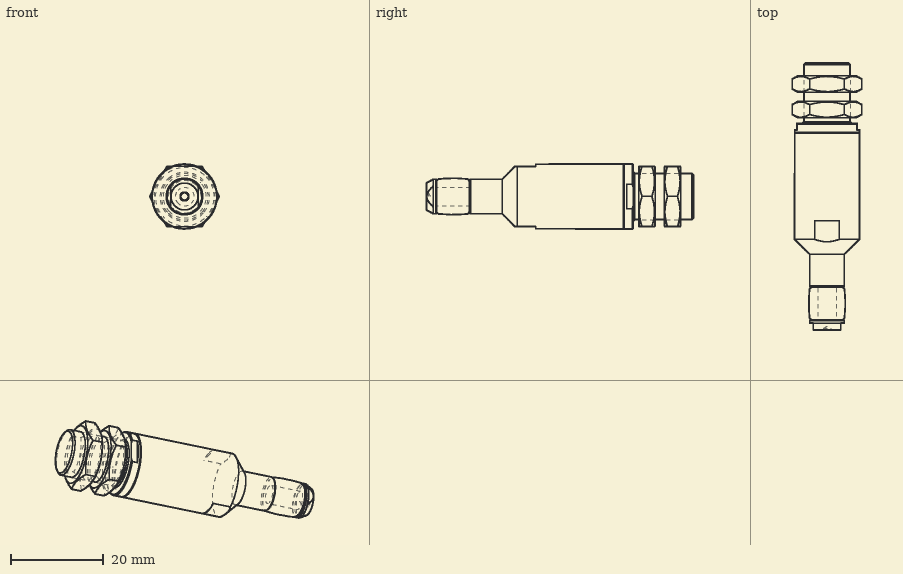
import cadquery as cq
import math

overall_length = 57.5

neck_diameter = 7.5
wrench_width = 13.0
joint_chamfer = 0.25

tip_end_diameter = 6.0
tip_end_chamfer = 0.1
tip_flat_width = 6.0
tip_taper_length = 1.5
tip_length = 2.25
rod_diameter = 4.0
hole_diameter = 1.57
hole_mouth_diameter = 1.9
hole_depth = 0.4
drill_point_angle = 118.0

sleeve_length = 7.0
sleeve_shoulder_diameter = 7.6
sleeve_diameter = 7.9
sleeve_rounding = 0.6

housing_front = tip_length + sleeve_length
cone_front = 16.35
cone_rear = 19.5
body_diameter = 14.0
front_flat_rear = 23.5
groove_center = 42.5
groove_depth = 0.1
flange_rear = 44.5
flange_chamfer = 0.2
flange_flat_length = 1.4
stud_diameter = 10.0
stud_root_flare = 0.3
stud_end_chamfer = 0.4

nut_thickness = 3.5
nut_face_diameter = 12.6
nut_chamfer_angle = 30.0
first_nut_front = 45.7
nut_pitch = 5.5
nut_count = 2


def turned(outline):
    """Revolve an outline drawn as (radius, Y) about the Y axis."""
    return outline.close().revolve(360, (0, 0, 0), (0, 1, 0))


def cylinder(diameter, start, end):
    """Solid cylinder on the Y axis between two Y stations."""
    return cq.Workplane("XZ", origin=(0, start, 0)).circle(diameter / 2).extrude(start - end)


def slab(width_x, width_z, start, end):
    """Block centred on the Y axis between two Y stations."""
    return cq.Workplane("XZ", origin=(0, start, 0)).rect(width_x, width_z).extrude(start - end)


def flat_cutter(width_x, width_z, start, end):
    """Material outside a centred block, for cutting pairs of flats between two Y stations."""
    stock_width = 2 * body_diameter
    return slab(stock_width, stock_width, start, end).cut(slab(width_x, width_z, start, end))


def make_tip():
    end_radius = tip_end_diameter / 2
    collar_radius = neck_diameter / 2
    outline = (
        cq.Workplane("XY")
        .moveTo(0, 0)
        .lineTo(end_radius - tip_end_chamfer, 0)
        .lineTo(end_radius, tip_end_chamfer)
        .lineTo(collar_radius, tip_taper_length)
        .lineTo(collar_radius, tip_length - joint_chamfer)
        .lineTo(collar_radius - joint_chamfer, tip_length)
        .lineTo(rod_diameter / 2, tip_length)
        .lineTo(rod_diameter / 2, housing_front)
        .lineTo(0, housing_front)
    )
    tip = turned(outline).cut(flat_cutter(tip_flat_width, body_diameter, 0, tip_taper_length))

    hole_radius = hole_diameter / 2
    mouth_radius = hole_mouth_diameter / 2
    point_length = hole_radius / math.tan(math.radians(drill_point_angle / 2))
    hole = turned(
        cq.Workplane("XY")
        .moveTo(0, 0)
        .lineTo(mouth_radius, 0)
        .lineTo(hole_radius, mouth_radius - hole_radius)
        .lineTo(hole_radius, hole_depth)
        .lineTo(0, hole_depth + point_length)
    )
    return tip.cut(hole)


def make_sleeve():
    front = tip_length
    rear = housing_front
    shoulder_radius = sleeve_shoulder_diameter / 2
    end_radius = shoulder_radius - sleeve_rounding
    round_middle = sleeve_rounding * (1 - math.cos(math.radians(45)))
    middle_radius = shoulder_radius - round_middle
    outline = (
        cq.Workplane("XY")
        .moveTo(rod_diameter / 2, front)
        .lineTo(end_radius, front)
        .threePointArc((middle_radius, front + round_middle), (shoulder_radius, front + sleeve_rounding))
        .threePointArc((sleeve_diameter / 2, (front + rear) / 2), (shoulder_radius, rear - sleeve_rounding))
        .threePointArc((middle_radius, rear - round_middle), (end_radius, rear))
        .lineTo(rod_diameter / 2, rear)
    )
    return turned(outline)


def make_housing():
    neck_radius = neck_diameter / 2
    body_radius = body_diameter / 2
    stud_radius = stud_diameter / 2
    outline = (
        cq.Workplane("XY")
        .moveTo(0, housing_front)
        .lineTo(neck_radius - joint_chamfer, housing_front)
        .lineTo(neck_radius, housing_front + joint_chamfer)
        .lineTo(neck_radius, cone_front)
        .lineTo(body_radius, cone_rear)
        .lineTo(body_radius, groove_center - groove_depth)
        .lineTo(body_radius - groove_depth, groove_center)
        .lineTo(body_radius, groove_center + groove_depth)
        .lineTo(body_radius, flange_rear - flange_chamfer)
        .lineTo(body_radius - flange_chamfer, flange_rear)
        .lineTo(stud_radius + stud_root_flare, flange_rear)
        .lineTo(stud_radius, flange_rear + stud_root_flare)
        .lineTo(stud_radius, overall_length - stud_end_chamfer)
        .lineTo(stud_radius - stud_end_chamfer, overall_length)
        .lineTo(0, overall_length)
    )
    front_flats = flat_cutter(body_diameter, wrench_width, cone_front, front_flat_rear)
    flange_flats = flat_cutter(wrench_width, body_diameter, flange_rear - flange_flat_length, flange_rear)
    return turned(outline).cut(front_flats).cut(flange_flats)


def make_nut(front):
    rear = front + nut_thickness
    corner_radius = wrench_width / 2 / math.cos(math.radians(30))
    hexagon = (
        cq.Workplane("XZ", origin=(0, front, 0))
        .polygon(6, 2 * corner_radius)
        .extrude(-nut_thickness)
    )
    face_radius = nut_face_diameter / 2
    chamfer_length = (corner_radius - face_radius) * math.tan(math.radians(nut_chamfer_angle))
    envelope = turned(
        cq.Workplane("XY")
        .moveTo(0, front)
        .lineTo(face_radius, front)
        .lineTo(corner_radius, front + chamfer_length)
        .lineTo(corner_radius, rear - chamfer_length)
        .lineTo(face_radius, rear)
        .lineTo(0, rear)
    )
    return hexagon.intersect(envelope).cut(cylinder(stud_diameter, front, rear))


tip = make_tip()
sleeve = make_sleeve()
housing = make_housing()
nuts = [make_nut(first_nut_front + i * nut_pitch) for i in range(nut_count)]

result = cq.Compound.makeCompound(
    [tip.val(), sleeve.val(), housing.val(), *[nut.val() for nut in nuts]]
)